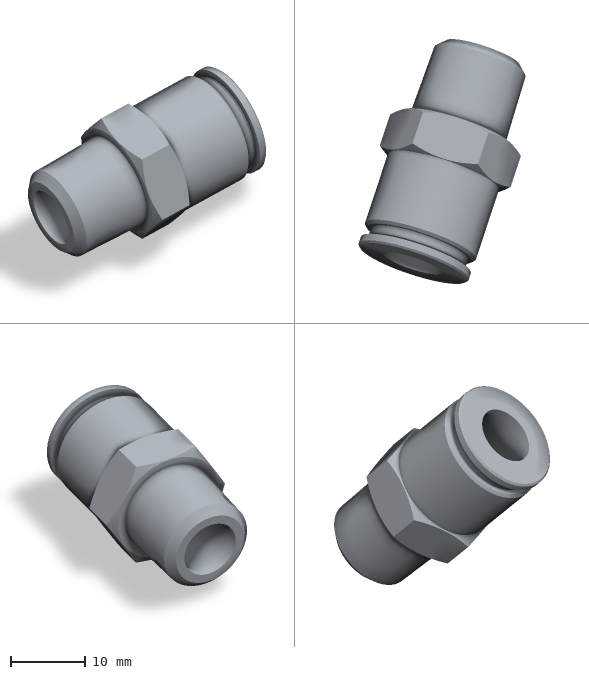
import cadquery as cq
import math

total_length = 30.3
hex_start = 11.0
hex_length = 6.05
hex_end = hex_start + hex_length

thread_root_radius = 6.73
thread_tip_radius = 6.45
thread_chamfer = 1.18

hex_across_flats = 16.0
hex_across_corners = hex_across_flats / math.cos(math.radians(30))
hex_face_radius = 7.88
hex_chamfer_angle = 30.0

body_radius = 7.85
body_chamfer = 0.4
body_end = total_length - 2.85

collar_radius = 7.8
collar_thickness = 1.2
collar_chamfer = 0.27
collar_start = total_length - collar_thickness
neck_radius = 6.85
neck_chamfer = 0.18
neck_end = collar_start - 0.2
groove_radius = neck_radius - neck_chamfer
neck_shoulder = neck_end - neck_chamfer

bore_radius = 4.0


def revolve_about_y(points):
    """Revolve a closed (radius, y) outline about the Y axis."""
    return cq.Workplane("XY").polyline(points).close().revolve(360, (0, 0, 0), (0, 1, 0))


def make_turned_shape():
    return revolve_about_y([
        (0, 0),
        (thread_tip_radius - thread_chamfer, 0),
        (thread_tip_radius, thread_chamfer),
        (thread_root_radius, hex_start),
        (body_radius, hex_start),
        (body_radius, body_end - body_chamfer),
        (body_radius - body_chamfer, body_end),
        (neck_radius, body_end),
        (neck_radius, neck_shoulder),
        (groove_radius, neck_end),
        (groove_radius, collar_start),
        (collar_radius, collar_start),
        (collar_radius, total_length - collar_chamfer),
        (collar_radius - collar_chamfer, total_length),
        (0, total_length),
    ])


def make_hex():
    """Hexagon with corners on the X axis, trimmed by a cone at each face."""
    prism = (
        cq.Workplane("XZ", origin=(0, hex_end, 0))
        .polygon(6, hex_across_corners)
        .extrude(hex_length)
    )
    corner_radius = hex_across_corners / 2
    chamfer_depth = (corner_radius - hex_face_radius) * math.tan(math.radians(hex_chamfer_angle))
    envelope = revolve_about_y([
        (0, hex_start),
        (hex_face_radius, hex_start),
        (corner_radius, hex_start + chamfer_depth),
        (corner_radius, hex_end - chamfer_depth),
        (hex_face_radius, hex_end),
        (0, hex_end),
    ])
    return prism.intersect(envelope)


def make_bore():
    return cq.Workplane("XZ").circle(bore_radius).extrude(-total_length)


result = make_turned_shape().union(make_hex()).cut(make_bore())